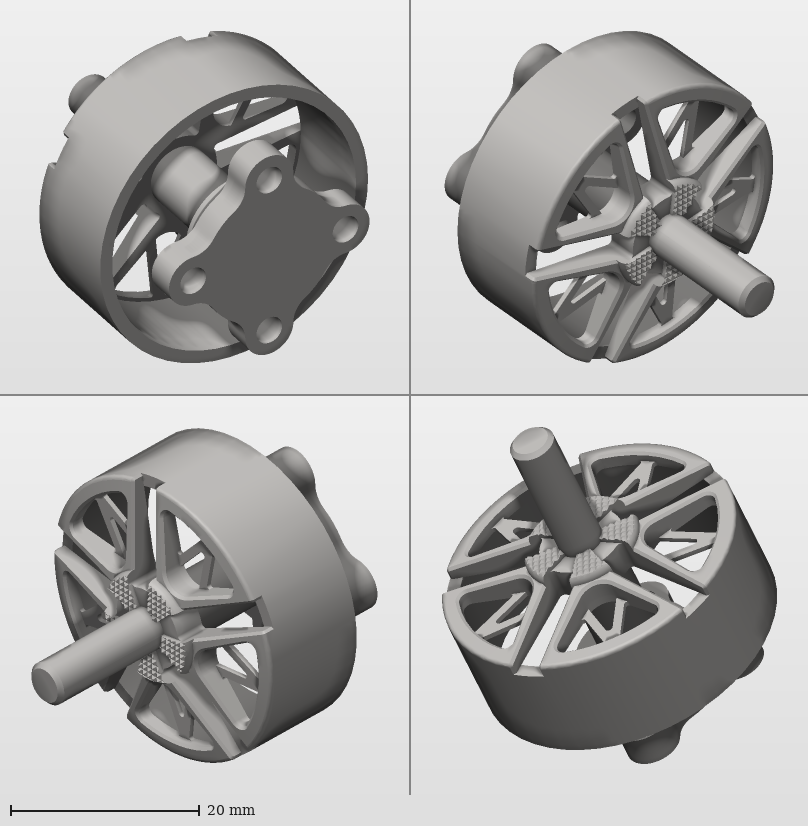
import cadquery as cq
import math


TOTAL_LENGTH = 37.0
TOOTH_TIP_X = 14.5
TOOTH_ROOT_X = 14.8
HUB_FLOOR_X = 15.2
CONE_START_X = 15.65
CONE_END_X = 17.34
PLATE_BACK_X = 18.75
BELL_END_X = 29.9
FLANGE_X = 31.0
BASE_X = 33.5

SHAFT_DIAMETER = 5.0
SHAFT_CHAMFER = 0.5
TUBE_DIAMETER = 7.0
FLANGE_DIAMETER = 13.5

BELL_RADIUS = 33.4 / 2
BELL_INNER_RADIUS = 30.4 / 2
RIM_FILLET = 0.5
EDGE_CHAMFER = 0.3

SPOKES = 5
HUB_RADIUS = 6.5
PAD_RADIUS = 5.9
RIM_BULGE = 0.12
TOOTH_PITCH = 0.71
NOTCH_HALF_ANGLE = 18.0

FIRST_SLOT_ANGLE = 80.0
SLOT_HALF_WIDTH = 1.65
SLOT_INNER_RADIUS = 4.74
SLOT_CORNER_RADIUS = 0.5

FIRST_WINDOW_ANGLE = FIRST_SLOT_ANGLE + 180.0 / SPOKES
WINDOW_APEX = 5.5
WINDOW_HALF_ANGLE = 39.0
WINDOW_OUTER_RADIUS = 14.75
WINDOW_INNER_FILLET = 2.4
WINDOW_OUTER_FILLET = 0.9

STRUT_THICKNESS = 0.55
STRUT_HALF_ANGLE = 15.5
STRUT_WIDTH = 1.0
STRUT_INNER_APEX = 13.3
STRUT_INNER_FILLET = 0.42
STRUT_FILLET = 0.3

LOBES = 4
LOBE_RADIUS = 3.0
LOBE_CENTER_RADIUS = 9.5
BLEND_RADIUS = 3.0
SCREW_HOLE_DIAMETER = 3.2


def turned(start_x, end_x, diameter):
    """Cylinder on the shaft axis from start_x to end_x."""
    return cq.Workplane("YZ", origin=(start_x, 0, 0)).circle(diameter / 2).extrude(end_x - start_x)


def revolved(profile):
    """Revolve a profile drawn as (x, radius) about the shaft axis."""
    return profile.close().revolve(360, (0, 0, 0), (1, 0, 0))


def around_axis(shape, first_angle, count=SPOKES):
    """Evenly spaced copies of a one-solid shape about the shaft axis."""
    solid = shape.val()
    copies = [solid.rotate((0, 0, 0), (1, 0, 0), first_angle + i * 360.0 / count) for i in range(count)]
    return cq.Workplane(cq.Compound.makeCompound(copies))


def triangle(apex, half_angle, length, start_x, end_x):
    """Wedge with its point at y = apex, opening along +Y for positive length and -Y for negative."""
    half_width = abs(length) * math.tan(math.radians(half_angle))
    return (
        cq.Workplane("YZ", origin=(start_x, 0, 0))
        .polyline([(apex, 0), (apex + length, -half_width), (apex + length, half_width)])
        .close()
        .extrude(end_x - start_x)
    )


def slot_cutter():
    """Parallel-sided slot along +Y whose inner end follows the hub cylinder."""
    length = 2 * BELL_RADIUS
    slot = cq.Workplane("XY").box(PLATE_BACK_X, length, 2 * SLOT_HALF_WIDTH, centered=(False, False, True))
    slot = slot.cut(turned(0, PLATE_BACK_X, 2 * SLOT_INNER_RADIUS))
    return slot.edges("|X and (not >Y)").fillet(SLOT_CORNER_RADIUS)


def window_cutter(start_x, end_x):
    """Rounded window centred on +Y, bounded outside by an arc about the shaft axis."""
    wedge = triangle(WINDOW_APEX, WINDOW_HALF_ANGLE, BELL_RADIUS, start_x, end_x)
    window = wedge.intersect(turned(start_x, end_x, 2 * WINDOW_OUTER_RADIUS))
    window = window.edges("|X and <Y").fillet(WINDOW_INNER_FILLET)
    return window.edges("|X and (>Z or <Z)").fillet(WINDOW_OUTER_FILLET)


def bell():
    """Cup with a conical front, cut by slots and windows whose front edges are chamfered."""
    shell = revolved(
        cq.Workplane("XY")
        .moveTo(PLATE_BACK_X, HUB_RADIUS)
        .lineTo(CONE_START_X, HUB_RADIUS)
        .lineTo(CONE_END_X, BELL_RADIUS)
        .lineTo(BELL_END_X, BELL_RADIUS)
        .lineTo(BELL_END_X, BELL_INNER_RADIUS)
        .lineTo(PLATE_BACK_X, BELL_INNER_RADIUS)
    )
    front_rim = cq.selectors.RadiusNthSelector(-1)
    shell = shell.faces("%CONE").edges(front_rim).fillet(RIM_FILLET)
    shell = shell.cut(around_axis(slot_cutter(), FIRST_SLOT_ANGLE))
    shell = shell.cut(around_axis(window_cutter(0, PLATE_BACK_X), FIRST_WINDOW_ANGLE))
    cone_edges = shell.faces("%CONE").edges()
    side_edges = cone_edges.edges("not %CIRCLE")
    window_arcs = cone_edges.edges(cq.selectors.RadiusNthSelector(1))
    return shell.newObject(side_edges.vals() + window_arcs.vals()).chamfer(EDGE_CHAMFER)


def struts():
    """A V of two struts meeting at the rim, filling the back of one window."""
    start_x = PLATE_BACK_X - STRUT_THICKNESS
    outer_apex = STRUT_INNER_APEX + STRUT_WIDTH / math.sin(math.radians(STRUT_HALF_ANGLE))
    window = window_cutter(start_x, PLATE_BACK_X)
    outer = triangle(outer_apex, STRUT_HALF_ANGLE, -outer_apex, start_x, PLATE_BACK_X)
    inner = triangle(STRUT_INNER_APEX, STRUT_HALF_ANGLE, -STRUT_INNER_APEX, start_x, PLATE_BACK_X)
    inner = inner.edges("|X and >Y").fillet(STRUT_INNER_FILLET)
    side = window.cut(outer).solids(">Z")
    near_strut = side.faces(cq.selectors.PerpendicularDirSelector(cq.Vector(1, 0, 0))).faces("<Z")
    side = near_strut.edges("|X").fillet(STRUT_FILLET)
    return window.cut(side).cut(side.mirror("XY")).cut(inner)


def knurl_grooves():
    """V-grooves in two directions that leave pyramid teeth on the pads."""
    half_mouth = TOOTH_PITCH / 2
    groove_count = 2 * math.ceil(HUB_RADIUS / TOOTH_PITCH)
    groove_length = 2 * HUB_RADIUS
    groove = (
        cq.Workplane("XY", origin=(0, 0, -groove_length / 2))
        .polyline([(TOOTH_TIP_X, -half_mouth), (TOOTH_ROOT_X, 0), (TOOTH_TIP_X, half_mouth)])
        .close()
        .extrude(groove_length)
    )
    grooves = []
    for i in range(groove_count):
        offset = (i - (groove_count - 1) / 2) * TOOTH_PITCH
        shifted = groove.translate((0, offset, 0))
        grooves.append(shifted)
        grooves.append(shifted.rotate((0, 0, 0), (1, 0, 0), 90))
    return grooves


def hub():
    """Knurled hub, notched down to its floor between the pads and slotted outside."""
    rim_x = (TOOTH_TIP_X + CONE_START_X) / 2 - RIM_BULGE
    rim_radius = (PAD_RADIUS + HUB_RADIUS) / 2 + RIM_BULGE
    body = revolved(
        cq.Workplane("XY")
        .moveTo(PLATE_BACK_X, 0)
        .lineTo(TOOTH_TIP_X, 0)
        .lineTo(TOOTH_TIP_X, PAD_RADIUS)
        .threePointArc((rim_x, rim_radius), (CONE_START_X, HUB_RADIUS))
        .lineTo(PLATE_BACK_X, HUB_RADIUS)
    )
    for groove in knurl_grooves():
        body = body.cut(groove)
    notch_length = SLOT_HALF_WIDTH / math.tan(math.radians(NOTCH_HALF_ANGLE))
    notch = triangle(0, NOTCH_HALF_ANGLE, notch_length, 0, HUB_FLOOR_X)
    body = body.cut(around_axis(notch, FIRST_SLOT_ANGLE))
    return body.cut(around_axis(slot_cutter(), FIRST_SLOT_ANGLE))


def shaft():
    """Shaft, bearing tube and flange."""
    pin = turned(0, FLANGE_X, SHAFT_DIAMETER).faces("<X").chamfer(SHAFT_CHAMFER)
    tube = turned(PLATE_BACK_X, FLANGE_X, TUBE_DIAMETER)
    flange = turned(FLANGE_X, BASE_X, FLANGE_DIAMETER)
    return pin.union(tube).union(flange)


def base():
    """Mounting base: round body blended into four lobes, each with a screw hole."""
    blend_offset = LOBE_RADIUS + BLEND_RADIUS
    blend_distance = math.hypot(blend_offset, LOBE_CENTER_RADIUS)
    body_radius = blend_distance - BLEND_RADIUS
    plate = turned(BASE_X, TOTAL_LENGTH, 2 * body_radius)
    tangent_scale = body_radius / blend_distance
    tangent_y = LOBE_CENTER_RADIUS * tangent_scale
    tangent_z = blend_offset * tangent_scale
    lobe_outline = (
        cq.Workplane("YZ", origin=(BASE_X, 0, 0))
        .moveTo(LOBE_CENTER_RADIUS, LOBE_RADIUS)
        .threePointArc((LOBE_CENTER_RADIUS + LOBE_RADIUS, 0), (LOBE_CENTER_RADIUS, -LOBE_RADIUS))
        .radiusArc((tangent_y, -tangent_z), -BLEND_RADIUS)
        .lineTo(0, 0)
        .lineTo(tangent_y, tangent_z)
        .radiusArc((LOBE_CENTER_RADIUS, LOBE_RADIUS), -BLEND_RADIUS)
        .close()
    )
    lobe = lobe_outline.extrude(TOTAL_LENGTH - BASE_X)
    hole = turned(BASE_X, TOTAL_LENGTH, SCREW_HOLE_DIAMETER).translate((0, LOBE_CENTER_RADIUS, 0))
    return plate.union(around_axis(lobe, 0, LOBES)).cut(around_axis(hole, 0, LOBES))


result = (
    hub()
    .union(bell())
    .union(around_axis(struts(), FIRST_WINDOW_ANGLE))
    .union(shaft())
    .union(base())
)